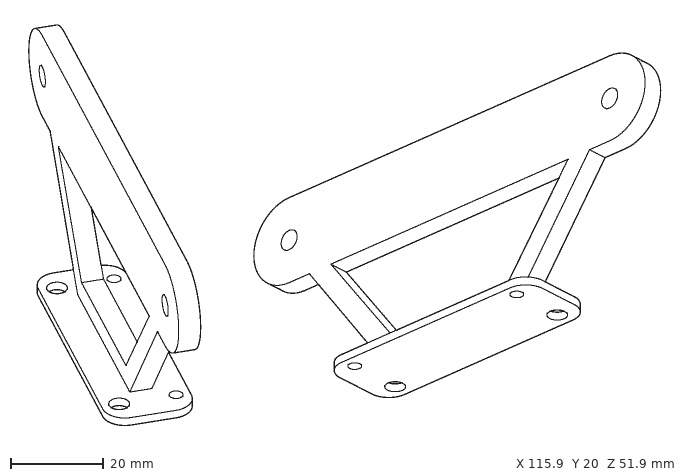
import cadquery as cq

length = 115.9
height = 51.9
thickness = 5.0

base_length = 59.9
base_width = 20.0
base_height = 2.0
base_corner_radius = 5.0
base_hole_x = 24.0
front_hole_y = -6.0
front_hole_diameter = 4.5
rear_hole_y = 6.8
rear_hole_diameter = 3.0

bar_height = 21.0
bar_hole_diameter = 4.8
bar_bottom = height - bar_height
bar_center_z = height - bar_height / 2
end_center_x = (length - bar_height) / 2

outer_top_half = 41.5
outer_bottom_half = 20.2
inner_top_half = 35.1
inner_bottom_half = 17.2
frame_rail_height = 5.0


def trapezoid(bottom_half, top_half, bottom_z, top_z):
    """Upright symmetric trapezoid, centred on Y = 0."""
    points = [
        (-bottom_half, bottom_z),
        (bottom_half, bottom_z),
        (top_half, top_z),
        (-top_half, top_z),
    ]
    return cq.Workplane("XZ").polyline(points).close().extrude(thickness / 2, both=True)


def make_base():
    """Rounded plate with a pair of large holes in front and small ones behind."""
    plate = cq.Workplane("XY").box(base_length, base_width, base_height, centered=(True, True, False))
    plate = plate.edges("|Z").fillet(base_corner_radius)
    for hole_y, diameter in (
        (front_hole_y, front_hole_diameter),
        (rear_hole_y, rear_hole_diameter),
    ):
        places = [(-base_hole_x, hole_y), (base_hole_x, hole_y)]
        holes = cq.Workplane("XY").pushPoints(places).circle(diameter / 2).extrude(base_height)
        plate = plate.cut(holes)
    return plate


def make_bar():
    """Bar with semicircular ends and a hole at the centre of each end."""
    sketch_plane = cq.Workplane("XZ").center(0, bar_center_z)
    bar = sketch_plane.slot2D(length, bar_height).extrude(thickness / 2, both=True)
    places = [(-end_center_x, 0), (end_center_x, 0)]
    holes = sketch_plane.pushPoints(places).circle(bar_hole_diameter / 2).extrude(thickness / 2, both=True)
    return bar.cut(holes)


def make_frame():
    """Sloping legs joined by a rail along the base plate."""
    outer = trapezoid(outer_bottom_half, outer_top_half, base_height, bar_bottom)
    opening = trapezoid(inner_bottom_half, inner_top_half, base_height + frame_rail_height, bar_bottom)
    return outer.cut(opening)


result = make_base().union(make_frame()).union(make_bar())